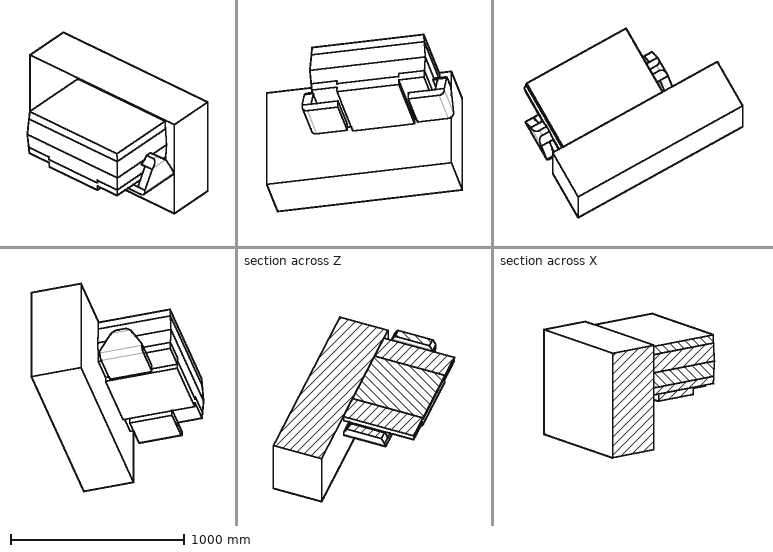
import cadquery as cq
import math

OVERALL_LENGTH = 1111.0

WALL_LENGTH = 1091.0
WALL_DEPTH = 299.0
WALL_HEIGHT = 627.0

CENTER_X = 691.0
WAIST_HALF_WIDTH = 341.0
WAIST_DEPTH = 439.0
FLANK_TAPER = 4.0
FRONT_TAPER = 3.0
HOUSING_TOP_Z = 620.0
LID_SEAM_Z = 568.0
WAIST_Z = 459.0
BASE_SIDE_SEAM_Z = 369.0
BASE_MIDDLE_SEAM_Z = 350.0
BASE_SIDE_BOTTOM_Z = 327.0
KEEL_BOTTOM_Z = 297.0
KEEL_HALF_WIDTH = 182.0

HANDLE_OUTER_X = OVERALL_LENGTH - CENTER_X
HANDLE_WALL = 53.0
HANDLE_FOOT_END_X = 208.0
HANDLE_TOP_Z = 478.0
HANDLE_CEILING_Z = 437.0
HANDLE_BOTTOM_Z = 284.0
HANDLE_OUTER_RADIUS = 31.0
HANDLE_INNER_RADIUS = 7.0

HANDLE_CENTER_Y = -160.0
HANDLE_FOOT_HALF_DEPTH = 127.0
HANDLE_SHOULDER_HALF_DEPTH = 62.0
HANDLE_SHOULDER_Z = 439.0
HANDLE_CREST_HALF_DEPTH = 17.0


def make_wall():
    return cq.Workplane("XY").box(WALL_LENGTH, WALL_DEPTH, WALL_HEIGHT, centered=False)


def make_housing_envelope():
    """Outer shape of the whole stack: tapered flanks crossed with the tapered front."""
    rise = HOUSING_TOP_Z - WAIST_Z
    drop = WAIST_Z - KEEL_BOTTOM_Z
    flank_slope = math.tan(math.radians(FLANK_TAPER))
    front_slope = math.tan(math.radians(FRONT_TAPER))
    top_half_width = WAIST_HALF_WIDTH - rise * flank_slope
    bottom_half_width = WAIST_HALF_WIDTH - drop * flank_slope

    cross_section = (
        cq.Workplane("XZ", origin=(CENTER_X, 0, 0))
        .polyline([
            (-bottom_half_width, KEEL_BOTTOM_Z),
            (bottom_half_width, KEEL_BOTTOM_Z),
            (WAIST_HALF_WIDTH, WAIST_Z),
            (top_half_width, HOUSING_TOP_Z),
            (-top_half_width, HOUSING_TOP_Z),
            (-WAIST_HALF_WIDTH, WAIST_Z),
        ])
        .close()
        .extrude(WAIST_DEPTH)
    )
    side_outline = (
        cq.Workplane("YZ", origin=(CENTER_X, 0, 0))
        .polyline([
            (0, KEEL_BOTTOM_Z),
            (-WAIST_DEPTH + drop * front_slope, KEEL_BOTTOM_Z),
            (-WAIST_DEPTH, WAIST_Z),
            (-WAIST_DEPTH + rise * front_slope, HOUSING_TOP_Z),
            (0, HOUSING_TOP_Z),
        ])
        .close()
        .extrude(WAIST_HALF_WIDTH, both=True)
    )
    return cross_section.intersect(side_outline)


def slice_housing(envelope, outline):
    """Part of the housing inside an outline in X (from the housing centre) and Z."""
    slab = (
        cq.Workplane("XZ", origin=(CENTER_X, 0, 0))
        .polyline(outline)
        .close()
        .extrude(WAIST_DEPTH)
    )
    return envelope.intersect(slab)


def make_flat_layer(envelope, bottom_z, top_z):
    return slice_housing(envelope, [
        (-WAIST_HALF_WIDTH, bottom_z),
        (WAIST_HALF_WIDTH, bottom_z),
        (WAIST_HALF_WIDTH, top_z),
        (-WAIST_HALF_WIDTH, top_z),
    ])


def stepped_line(side_z, middle_z):
    """Points from left to right along a level line that steps down over the keel."""
    return [
        (-WAIST_HALF_WIDTH, side_z),
        (-KEEL_HALF_WIDTH, side_z),
        (-KEEL_HALF_WIDTH, middle_z),
        (KEEL_HALF_WIDTH, middle_z),
        (KEEL_HALF_WIDTH, side_z),
        (WAIST_HALF_WIDTH, side_z),
    ]


def make_lower_shell(envelope):
    """Layer under the waist, with a middle strip that reaches down into the base."""
    seam = stepped_line(BASE_SIDE_SEAM_Z, BASE_MIDDLE_SEAM_Z)
    waist = [(WAIST_HALF_WIDTH, WAIST_Z), (-WAIST_HALF_WIDTH, WAIST_Z)]
    return slice_housing(envelope, seam + waist)


def make_base(envelope):
    """Bottom layer, stepped above and below, with the keel hanging between the handles."""
    underside = stepped_line(BASE_SIDE_BOTTOM_Z, KEEL_BOTTOM_Z)
    seam = stepped_line(BASE_SIDE_SEAM_Z, BASE_MIDDLE_SEAM_Z)
    return slice_housing(envelope, underside + seam[::-1])


def make_right_handle(upper_shell, lower_shell):
    """C-shaped bracket whose upper arm ends on the flank and whose foot runs under the base."""
    foot_length = HANDLE_OUTER_X - HANDLE_FOOT_END_X
    opening_length = foot_length - HANDLE_WALL
    foot_end_x = CENTER_X + HANDLE_FOOT_END_X

    blank = (
        cq.Workplane("XY", origin=(foot_end_x, HANDLE_CENTER_Y, HANDLE_BOTTOM_Z))
        .box(foot_length, 2 * HANDLE_FOOT_HALF_DEPTH, HANDLE_TOP_Z - HANDLE_BOTTOM_Z,
             centered=(False, True, False))
        .edges("|Y and >X")
        .fillet(HANDLE_OUTER_RADIUS)
    )
    opening = (
        cq.Workplane("XY", origin=(foot_end_x, HANDLE_CENTER_Y, BASE_SIDE_BOTTOM_Z))
        .box(opening_length, 2 * HANDLE_FOOT_HALF_DEPTH, HANDLE_CEILING_Z - BASE_SIDE_BOTTOM_Z,
             centered=(False, True, False))
        .edges("|Y and >X")
        .fillet(HANDLE_INNER_RADIUS)
    )
    side_outline = (
        cq.Workplane("YZ", origin=(foot_end_x, HANDLE_CENTER_Y, 0))
        .polyline([
            (-HANDLE_FOOT_HALF_DEPTH, HANDLE_BOTTOM_Z),
            (-HANDLE_FOOT_HALF_DEPTH, BASE_SIDE_BOTTOM_Z),
            (-HANDLE_SHOULDER_HALF_DEPTH, HANDLE_SHOULDER_Z),
            (-HANDLE_CREST_HALF_DEPTH, HANDLE_TOP_Z),
            (HANDLE_CREST_HALF_DEPTH, HANDLE_TOP_Z),
            (HANDLE_SHOULDER_HALF_DEPTH, HANDLE_SHOULDER_Z),
            (HANDLE_FOOT_HALF_DEPTH, BASE_SIDE_BOTTOM_Z),
            (HANDLE_FOOT_HALF_DEPTH, HANDLE_BOTTOM_Z),
        ])
        .close()
        .extrude(foot_length)
    )
    return blank.cut(opening).intersect(side_outline).cut(upper_shell).cut(lower_shell)


wall = make_wall()

envelope = make_housing_envelope()
lid = make_flat_layer(envelope, LID_SEAM_Z, HOUSING_TOP_Z)
upper_shell = make_flat_layer(envelope, WAIST_Z, LID_SEAM_Z)
lower_shell = make_lower_shell(envelope)
base = make_base(envelope)

right_handle = make_right_handle(upper_shell, lower_shell)
left_handle = right_handle.mirror("YZ", (CENTER_X, 0, 0))
handles = [handle.solids().val() for handle in (right_handle, left_handle)]

result = cq.Compound.makeCompound([
    wall.val(),
    lid.solids().val(),
    upper_shell.solids().val(),
    lower_shell.solids().val(),
    base.solids().val(),
    *handles,
])